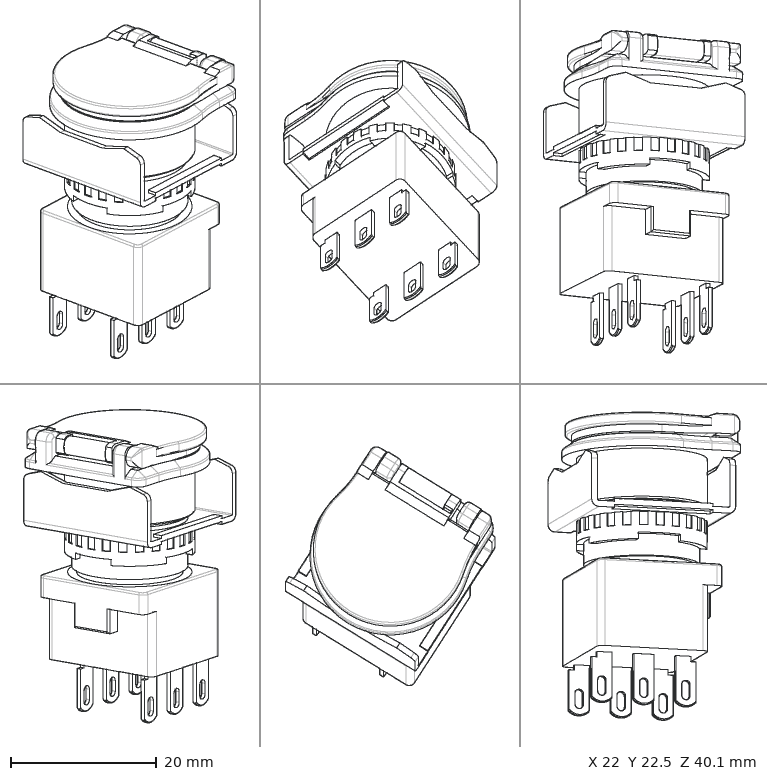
import cadquery as cq


total_height = 40.1
lid_top = 39.6
lid_rim_bottom = 38.1
bezel_top = 36.9
bezel_lip = 35.95
bezel_bottom = 34.85
barrel_bottom = 27.9
barrel_cone_bottom = 27.45
bracket_bottom = 26.05
knurl_bottom = 24.22
castle_top = 23.15
castle_bottom = 22.25
stem_step = 20.15
block_top = 19.25
block_bottom = 7.0

shoulder_y = 7.05
bezel_width = 22.0
bezel_depth = 22.5
bezel_radius = bezel_width / 2
bezel_half_width = 10.1
bezel_back = bezel_depth - bezel_radius
bezel_corner = 1.45
bezel_slope_width = 1.35
lip_round = 0.32
selection_margin = 0.05
lid_radius = 10.55
lid_half_width = 9.65
lid_back = 11.43
lid_corner = 1.1
lid_rim_round = 0.25
skirt_radius = 9.65
skirt_lift = 0.35
skirt_lift_start = 0.4
skirt_chamfer = 0.2

hinge_y = bezel_back - bezel_corner
hinge_radius = 1.4
hinge_front = 6.65
hinge_ramp_top = 7.9
hinge_cut_front = 7.95
hinge_cut_chamfer = 0.3
ear_round = 0.25
ear_inner = 7.75
bar_left = -5.0
bar_right = 4.5
bar_back = 11.03
roll_left = -3.95
roll_right = 3.05
roll_y = 9.85
roll_radius = 1.32
roll_drop = 0.12
window_front = 8.5
window_right = 4.35
step_back = 9.2
window_floor = 38.3
knuckle_inner = 5.25
knuckle_outer = 7.58
knuckle_front = 8.35
knuckle_round = 1.05
knuckle_side_round = 0.55

barrel_radius = 9.0
barrel_edge = 0.25
cone_top_radius = 8.22
neck_radius = 7.98
slot_count = 24
slot_width = 1.15
slot_depth = 0.25
castle_gap = 6.05
stem_radius = 7.3
foot_radius = 8.55
foot_depth = 0.4

bracket_half_width = 10.5
bracket_half_depth = 10.3
sheet = 0.85
bend_radius = 1.0
inner_bend_radius = bend_radius - sheet
wing_dip_z = 33.25
wing_peak_z = 34.35
wing_side_z = 33.5
wing_dip_half = 3.75
wing_peak_x = 7.55
wing_corner_round = 0.95
strip_width = 1.32
strip_half_length = 7.0
strip_rise = 0.4

block_half = 9.0
block_front = -8.85
block_corner = 0.9
block_top_round = 0.3
recess_top = 16.2
recess_y = 6.98
tab_bottom = 12.67
tab_half_width = 3.0
tab_chamfer = 0.3
terminal_columns = (-6.98, 3.9)
terminal_pitch = 6.0
terminal_width = 2.9
terminal_thick = 0.6
terminal_middle_y = (recess_y + block_front) / 2
terminal_shoulder = 0.6
terminal_tip_chamfer = 0.14
notch_width = 0.75
notch_bottom = 6.3
eye_width = 1.2
eye_top = 3.65
eye_bottom = 0.95


def box(x0, x1, y0, y1, z0, z1):
    return cq.Workplane("XY").box(x1 - x0, y1 - y0, z1 - z0, centered=False).translate((x0, y0, z0))


def cylinder(radius, z0, z1):
    return cq.Workplane("XY").workplane(offset=z0).circle(radius).extrude(z1 - z0)


def hinged_outline(plane, radius, half_width, back, corner):
    """Disc outline blended by two hollow arcs into a straight-sided end with rounded corners."""
    hollow = (half_width**2 + shoulder_y**2 - radius**2) / (2 * (radius - half_width))
    share = radius / (radius + hollow)
    join_x = (half_width + hollow) * share
    join_y = shoulder_y * share
    return (
        plane.moveTo(-half_width, shoulder_y)
        .lineTo(-half_width, back - corner)
        .tangentArcPoint((-half_width + corner, back), relative=False)
        .lineTo(half_width - corner, back)
        .tangentArcPoint((half_width, back - corner), relative=False)
        .lineTo(half_width, shoulder_y)
        .tangentArcPoint((join_x, join_y), relative=False)
        .threePointArc((0, -radius), (-join_x, join_y))
        .tangentArcPoint((-half_width, shoulder_y), relative=False)
        .close()
    )


def make_bezel():
    base = cq.Workplane("XY").workplane(offset=bezel_bottom)
    full_size = (bezel_radius, bezel_half_width, bezel_back, bezel_corner)
    flange = hinged_outline(base, *full_size).extrude(bezel_lip - bezel_bottom)
    lower = hinged_outline(cq.Workplane("XY").workplane(offset=bezel_lip), *full_size)
    inset = bezel_slope_width
    slope = hinged_outline(
        lower.workplane(offset=bezel_top - bezel_lip),
        bezel_radius - inset, bezel_half_width - inset, bezel_back - inset, bezel_corner - inset,
    ).loft(ruled=True)
    bezel = flange.union(slope)
    reach = 2 * bezel_radius
    at_lip = cq.selectors.BoxSelector(
        (-reach, -reach, bezel_lip - selection_margin),
        (reach, reach, bezel_lip + selection_margin),
        boundingbox=True,
    )
    return bezel.edges(at_lip).fillet(lip_round)


def make_knuckle(side):
    knuckle = box(knuckle_inner, knuckle_outer, knuckle_front, bezel_back, bezel_bottom, total_height)
    knuckle = knuckle.edges("|X and >Z").fillet(knuckle_round)
    knuckle = knuckle.faces("<X").edges("not <Z").fillet(knuckle_side_round)
    return knuckle if side > 0 else knuckle.mirror("YZ")


def make_barrel():
    """Turned barrel, neck, collar, stem and the foot that sits in the contact block."""
    return (
        cq.Workplane("XZ")
        .moveTo(0, bezel_bottom)
        .lineTo(barrel_radius, bezel_bottom)
        .lineTo(barrel_radius, barrel_bottom + barrel_edge)
        .lineTo(barrel_radius - barrel_edge, barrel_bottom)
        .lineTo(cone_top_radius, barrel_bottom)
        .lineTo(neck_radius, barrel_cone_bottom)
        .lineTo(neck_radius, bracket_bottom)
        .lineTo(barrel_radius, bracket_bottom)
        .lineTo(barrel_radius, castle_bottom)
        .lineTo(neck_radius, castle_bottom)
        .lineTo(neck_radius, stem_step)
        .lineTo(stem_radius, stem_step)
        .lineTo(stem_radius, block_top)
        .lineTo(foot_radius, block_top)
        .lineTo(foot_radius, block_top - foot_depth)
        .lineTo(0, block_top - foot_depth)
        .close()
        .revolve(360, (0, 0, 0), (0, 1, 0))
    )


def knurl_slots():
    slot = box(
        barrel_radius - slot_depth, 2 * barrel_radius, -slot_width / 2, slot_width / 2,
        knurl_bottom, bracket_bottom,
    )
    slots = cq.Workplane("XY")
    for index in range(slot_count):
        slots = slots.add(slot.rotate((0, 0, 0), (0, 0, 1), index * 360 / slot_count))
    return slots.combine()


def castle_gaps():
    """Four gaps that cut the bottom of the collar back to the stem, leaving four teeth."""
    long_side = 2 * barrel_radius
    height = castle_top - castle_bottom
    cross = cq.Workplane("XY").workplane(offset=castle_bottom).rect(castle_gap, long_side).extrude(height)
    cross = cross.union(cross.rotate((0, 0, 0), (0, 0, 1), 90))
    return cross.cut(cylinder(neck_radius, castle_bottom, castle_top))


housing = make_barrel().cut(knurl_slots()).cut(castle_gaps()).union(make_bezel())
for side in (-1, 1):
    housing = housing.union(make_knuckle(side))


def lid_outline(z):
    plane = cq.Workplane("XY").workplane(offset=z)
    return hinged_outline(plane, lid_radius, lid_half_width, lid_back, lid_corner)


def make_lid_plate():
    plate = lid_outline(lid_rim_bottom).extrude(lid_top - lid_rim_bottom)
    return plate.faces("<Z or >Z").edges().fillet(lid_rim_round)


def make_skirt():
    """Inset rim under the lid; its rear half lifts clear of the bezel."""
    skirt_top = lid_top - lid_rim_round
    skirt = cylinder(skirt_radius, bezel_top, skirt_top)
    skirt = skirt.union(
        box(-skirt_radius, skirt_radius, 0, hinge_cut_front, bezel_top, skirt_top)
    )
    skirt = skirt.faces("<Z").chamfer(skirt_chamfer)
    wedge = (
        cq.Workplane("YZ")
        .moveTo(skirt_lift_start, bezel_top)
        .lineTo(hinge_front, bezel_top + skirt_lift)
        .lineTo(lid_back, bezel_top + skirt_lift)
        .lineTo(lid_back, bezel_top)
        .close()
        .extrude(2 * skirt_radius, both=True)
    )
    return skirt.cut(wedge)


def hinge_section(x0, x1):
    """Length of hinge: a ramp up from the lid, a flat top and a round back."""
    hinge_z = total_height - hinge_radius
    return (
        cq.Workplane("YZ")
        .workplane(offset=x0)
        .moveTo(hinge_front, lid_top)
        .lineTo(hinge_ramp_top, total_height)
        .lineTo(hinge_y, total_height)
        .threePointArc((hinge_y + hinge_radius, hinge_z), (hinge_y, hinge_z - hinge_radius))
        .lineTo(hinge_front, hinge_z - hinge_radius)
        .close()
        .extrude(x1 - x0)
    )


def make_ears():
    ears = hinge_section(-lid_half_width, -ear_inner).union(hinge_section(ear_inner, lid_half_width))
    ears = ears.intersect(lid_outline(bezel_top).extrude(total_height - bezel_top))
    outer_top_edges = ears.faces("<X or >X").edges(">Z")
    return outer_top_edges.fillet(ear_round)


def make_hinge_bar():
    """Middle of the hinge, with an open window that holds a round roll."""
    bar = hinge_section(bar_left, bar_right)
    bar = bar.cut(box(bar_left, bar_right, bar_back, lid_back + hinge_radius, bezel_top, total_height))
    bar = bar.cut(box(roll_left, roll_right, window_front, lid_back, bezel_top, total_height))
    bar = bar.cut(box(roll_right, window_right, window_front, step_back, window_floor, total_height))
    roll_z = total_height - roll_drop - roll_radius
    roll = (
        cq.Workplane("YZ")
        .workplane(offset=roll_left)
        .center(roll_y, roll_z)
        .circle(roll_radius)
        .extrude(roll_right - roll_left)
    )
    floor = box(
        roll_left, roll_right, window_front, roll_y, roll_z - roll_radius, window_floor
    )
    return bar.union(roll).union(floor)


behind_lid = box(-lid_radius, lid_radius, hinge_cut_front, lid_back + hinge_radius, bezel_top, total_height)
lid = make_lid_plate().union(make_skirt()).cut(behind_lid)
lid = lid.faces(">Y").edges(">Z").chamfer(hinge_cut_chamfer)
lid = lid.union(make_ears()).union(make_hinge_bar())


def make_channel():
    """Sheet bent into a U whose walls face -Y and +Y."""
    outer = box(
        -bracket_half_width, bracket_half_width, -bracket_half_depth, bracket_half_depth,
        bracket_bottom, wing_peak_z,
    ).edges("|X and <Z").fillet(bend_radius)
    inner_half = bracket_half_depth - sheet
    inner = box(
        -bracket_half_width, bracket_half_width, -inner_half, inner_half,
        bracket_bottom + sheet, wing_peak_z,
    ).edges("|X and <Z").fillet(inner_bend_radius)
    return outer.cut(inner)


def wing_outline():
    """Outline shared by both walls: a dip between two peaks, with rounded outer corners."""
    outline = (
        cq.Workplane("XZ")
        .moveTo(-bracket_half_width, bracket_bottom)
        .lineTo(-bracket_half_width, wing_side_z)
        .lineTo(-wing_peak_x, wing_peak_z)
        .lineTo(-wing_dip_half, wing_dip_z)
        .lineTo(wing_dip_half, wing_dip_z)
        .lineTo(wing_peak_x, wing_peak_z)
        .lineTo(bracket_half_width, wing_side_z)
        .lineTo(bracket_half_width, bracket_bottom)
        .close()
        .extrude(bracket_half_depth, both=True)
    )
    upper_corners = outline.edges("|Y").edges("<X or >X").edges(">Z")
    return upper_corners.fillet(wing_corner_round)


bracket = make_channel().intersect(wing_outline())
for x0 in (-bracket_half_width, bracket_half_width - strip_width):
    x1 = x0 + strip_width
    pressed = (x0, x1, -strip_half_length, strip_half_length)
    bracket = bracket.cut(box(*pressed, bracket_bottom, bracket_bottom + strip_rise))
    bracket = bracket.union(box(*pressed, bracket_bottom + strip_rise, bracket_bottom + sheet + strip_rise))
bracket = bracket.cut(cylinder(neck_radius, bracket_bottom, barrel_cone_bottom))


def make_block():
    upper = box(-block_half, block_half, block_front, block_half, recess_top, block_top)
    upper = upper.edges("|Z").fillet(block_corner).faces(">Z").edges().fillet(block_top_round)
    lower = box(-block_half, block_half, block_front, recess_y, block_bottom, recess_top)
    lower = lower.edges("|Z").fillet(block_corner)
    tab = box(-tab_half_width, tab_half_width, recess_y - block_corner, block_half, tab_bottom, recess_top)
    tab = tab.faces(">Y").edges("not >Z").chamfer(tab_chamfer)
    foot_seat = cylinder(foot_radius, block_top - foot_depth, block_top)
    return upper.union(lower).union(tab).cut(foot_seat)


def make_terminal(x, row):
    """Solder tag with a slotted eye and a curved tip; the outer rows are notched at the block."""
    y = terminal_middle_y + row * terminal_pitch
    half = terminal_width / 2
    tag = (
        cq.Workplane("YZ")
        .moveTo(y - half, block_bottom)
        .lineTo(y - half, terminal_shoulder)
        .threePointArc((y, 0), (y + half, terminal_shoulder))
        .lineTo(y + half, block_bottom)
        .close()
        .extrude(terminal_thick / 2, both=True)
    )
    tag = tag.edges("%CIRCLE").chamfer(terminal_tip_chamfer)
    eye = (
        cq.Workplane("YZ")
        .center(y, (eye_top + eye_bottom) / 2)
        .slot2D(eye_top - eye_bottom, eye_width, 90)
        .extrude(terminal_thick, both=True)
    )
    tag = tag.cut(eye)
    if row:
        outer_edge = y + row * half
        inner_edge = outer_edge - row * notch_width
        y0 = min(outer_edge, inner_edge)
        notch = box(-terminal_thick, terminal_thick, y0, y0 + notch_width, notch_bottom, block_bottom)
        tag = tag.cut(notch)
    return tag.translate((x, 0, 0))


contact_block = make_block()
for column_x in terminal_columns:
    for row in (-1, 0, 1):
        contact_block = contact_block.union(make_terminal(column_x, row))


result = cq.Compound.makeCompound(
    [
        *housing.solids().vals(),
        *lid.solids().vals(),
        *bracket.solids().vals(),
        *contact_block.solids().vals(),
    ]
)